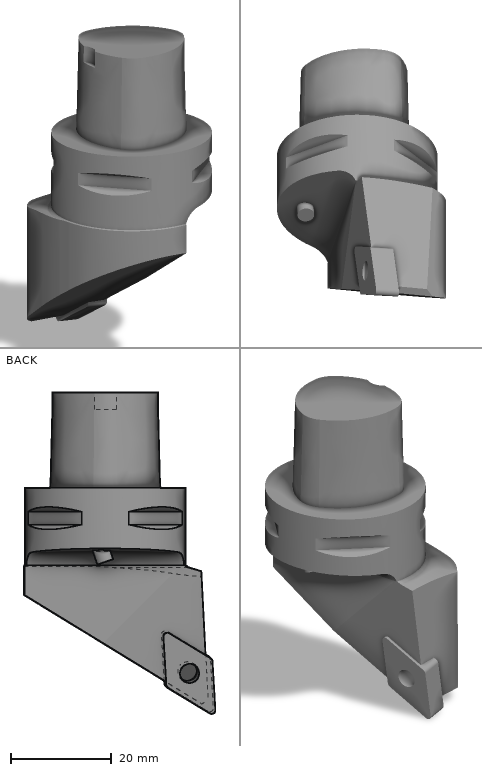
import cadquery as cq
import math


SHANK_LENGTH = 19.0
LOBE_REACH = 11.8
FLANK_REACH = 10.4
FLANK_RADIUS = 14.7
SHANK_INSET = 0.48
NOTCH_RADIUS = 3.3
NOTCH_CENTER_Y = -12.35
NOTCH_DEPTH = 3.3

COLLAR_RADIUS = 16.0
COLLAR_HEIGHT = 15.35
SLOT_COUNT = 4
SLOT_Z = -6.0
SLOT_FLOOR_DISTANCE = 14.15
SLOT_FLOOR_HALF_HEIGHT = 1.3
SLOT_MOUTH_HALF_HEIGHT = 2.25
SLOT_HALF_LENGTH = 9.6

HEAD_RADIUS = 16.25
LEFT_STOCK = (-21.75, -8.95)
LEFT_BEND = (-17.8, -13.25)
LEFT_ARC_MIDDLE = (-15.75, -14.8)
FRONT_LINE_START = (-13.1, -15.6)
FRONT_LINE_END = (-7.35, -16.45)
FRONT_ARC_MIDDLE = (-4.0, -16.7)
FRONT_ARC_END = (-0.5, -16.5)
ROUND_START_X = 2.4
ROUND_MIDDLE_ANGLE = -35
BACK_Y = 3.1
HEAD_JOIN_Z = -12.8
HEAD_BOTTOM_Z = -46.1
SHOULDER_INNER_RADIUS = 16.65
SHOULDER_Z = -15.8
SHOULDER_OUTER_RADIUS = 25.6
SHOULDER_SLOPE = 0.3
LEFT_TOP_X = -19.15
LEFT_TOP_Z = -16.6
NOSE_LEFT = (-20.4, -42.1)
NOSE_BOTTOM = (-19.2, -42.95)
UNDERSIDE_RIGHT_Z = -21.25

RELIEF_OUTER_Z = -12.0
RELIEF_INNER = (6.4, -12.8)
RELIEF_ARC_MIDDLE = (4.35, -13.7)
RELIEF_ARC_END_Z = -15.7
CLEAR = 25.6

NOZZLE_DIAMETER = 3.3
NOZZLE_TIP = (0, 10.4, -14.7)
NOZZLE_LENGTH = 4.5
NOZZLE_TILT = 19.0

INSERT_CORNER = (-22.0, 0, -45.6)
INSERT_SIDE = 11.6
INSERT_ANGLE = 55.0
INSERT_THICKNESS = 4.75
INSERT_CORNER_RADIUS = 0.8
INSERT_HOLE_DIAMETER = 3.85
EDGE_SLOPE = 31.2
RAKE_X = 0.1
RAKE_Z = 0.1
INSERT_PROUD = 0.65


def polar(radius, degrees):
    angle = math.radians(degrees)
    return (radius * math.cos(angle), radius * math.sin(angle))


def shank_outline(workplane, inset):
    """Three lobe arcs joined tangentially by three flank arcs."""
    flank_offset = FLANK_RADIUS - FLANK_REACH
    gap = FLANK_RADIUS - LOBE_REACH
    lobe_offset = (flank_offset**2 - gap**2) / (2 * gap - flank_offset)
    lobe_center = polar(lobe_offset, -30)
    lobe_radius = LOBE_REACH - lobe_offset - inset
    tangent_angle = math.atan2(lobe_center[1] - flank_offset, lobe_center[0])
    joint = (
        lobe_center[0] + lobe_radius * math.cos(tangent_angle),
        lobe_center[1] + lobe_radius * math.sin(tangent_angle),
    )
    joint_radius = math.hypot(*joint)
    half_lobe = -30 - math.degrees(math.atan2(joint[1], joint[0]))

    outline = workplane.moveTo(*polar(joint_radius, -30 - half_lobe))
    for lobe_angle in (-30, 90, 210):
        lobe_tip = polar(LOBE_REACH - inset, lobe_angle)
        lobe_end = polar(joint_radius, lobe_angle + half_lobe)
        flank_middle = polar(FLANK_REACH - inset, lobe_angle + 60)
        flank_end = polar(joint_radius, lobe_angle + 120 - half_lobe)
        outline = outline.threePointArc(lobe_tip, lobe_end).threePointArc(flank_middle, flank_end)
    return outline.close()


def make_shank():
    base = shank_outline(cq.Workplane("XY"), 0)
    shank = shank_outline(base.workplane(offset=SHANK_LENGTH), SHANK_INSET).loft(ruled=True)
    notch = (
        cq.Workplane("XY", origin=(0, NOTCH_CENTER_Y, SHANK_LENGTH - NOTCH_DEPTH))
        .circle(NOTCH_RADIUS)
        .extrude(NOTCH_DEPTH)
    )
    return shank.cut(notch)


def make_collar():
    collar = cq.Workplane("XY").circle(COLLAR_RADIUS).extrude(-COLLAR_HEIGHT)
    flare = (SLOT_MOUTH_HALF_HEIGHT - SLOT_FLOOR_HALF_HEIGHT) / (COLLAR_RADIUS - SLOT_FLOOR_DISTANCE)
    outer_distance = COLLAR_RADIUS + 0.65
    outer_half_height = SLOT_FLOOR_HALF_HEIGHT + flare * (outer_distance - SLOT_FLOOR_DISTANCE)
    slot = (
        cq.Workplane("XZ", origin=(0, 0, SLOT_Z))
        .polyline([
            (SLOT_FLOOR_DISTANCE, -SLOT_FLOOR_HALF_HEIGHT),
            (outer_distance, -outer_half_height),
            (outer_distance, outer_half_height),
            (SLOT_FLOOR_DISTANCE, SLOT_FLOOR_HALF_HEIGHT),
        ])
        .close()
        .extrude(SLOT_HALF_LENGTH, both=True)
    )
    for index in range(SLOT_COUNT):
        angle = 45 + index * 360 / SLOT_COUNT
        collar = collar.cut(slot.rotate((0, 0, 0), (0, 0, 1), angle))
    return collar


def head_column():
    """Upright column with the plan outline of the head."""
    round_start = (ROUND_START_X, -math.sqrt(HEAD_RADIUS**2 - ROUND_START_X**2))
    round_end = (math.sqrt(HEAD_RADIUS**2 - BACK_Y**2), BACK_Y)
    return (
        cq.Workplane("XY", origin=(0, 0, HEAD_JOIN_Z))
        .moveTo(LEFT_STOCK[0], BACK_Y)
        .lineTo(*LEFT_STOCK)
        .lineTo(*LEFT_BEND)
        .threePointArc(LEFT_ARC_MIDDLE, FRONT_LINE_START)
        .lineTo(*FRONT_LINE_END)
        .threePointArc(FRONT_ARC_MIDDLE, FRONT_ARC_END)
        .lineTo(*round_start)
        .threePointArc(polar(HEAD_RADIUS, ROUND_MIDDLE_ANGLE), round_end)
        .close()
        .extrude(HEAD_BOTTOM_Z - HEAD_JOIN_Z)
    )


def shoulder_envelope():
    """Round envelope whose conical top forms the shoulder under the collar."""
    outer_z = SHOULDER_Z - SHOULDER_SLOPE * (SHOULDER_OUTER_RADIUS - SHOULDER_INNER_RADIUS)
    return (
        cq.Workplane("XZ")
        .polyline([
            (0, HEAD_JOIN_Z),
            (COLLAR_RADIUS, HEAD_JOIN_Z),
            (COLLAR_RADIUS, -COLLAR_HEIGHT),
            (SHOULDER_INNER_RADIUS, SHOULDER_Z),
            (SHOULDER_OUTER_RADIUS, outer_z),
            (SHOULDER_OUTER_RADIUS, HEAD_BOTTOM_Z),
            (0, HEAD_BOTTOM_Z),
        ])
        .close()
        .revolve(360, (0, 0), (0, 1))
    )


def side_envelope():
    """Limits the head to its leaning left face, blunt nose and sloped underside."""
    lean = (LEFT_TOP_X - NOSE_LEFT[0]) / (LEFT_TOP_Z - NOSE_LEFT[1])
    left_join_x = LEFT_TOP_X + lean * (HEAD_JOIN_Z - LEFT_TOP_Z)
    return (
        cq.Workplane("XZ")
        .polyline([
            (left_join_x, HEAD_JOIN_Z),
            NOSE_LEFT,
            NOSE_BOTTOM,
            (HEAD_RADIUS, UNDERSIDE_RIGHT_Z),
            (HEAD_RADIUS, HEAD_JOIN_Z),
        ])
        .close()
        .extrude(CLEAR, both=True)
    )


def make_head():
    return head_column().intersect(shoulder_envelope()).intersect(side_envelope())


def collar_relief():
    """Removes the back half of the collar's lower part, with a rounded inner corner."""
    return (
        cq.Workplane("YZ")
        .moveTo(COLLAR_RADIUS, RELIEF_OUTER_Z)
        .lineTo(*RELIEF_INNER)
        .threePointArc(RELIEF_ARC_MIDDLE, (BACK_Y, RELIEF_ARC_END_Z))
        .lineTo(COLLAR_RADIUS, RELIEF_ARC_END_Z)
        .close()
        .extrude(CLEAR, both=True)
    )


def make_nozzle():
    tilt = math.radians(NOZZLE_TILT)
    plane = cq.Plane(origin=NOZZLE_TIP, xDir=(0, 1, 0), normal=(math.sin(tilt), 0, math.cos(tilt)))
    return cq.Workplane(plane).circle(NOZZLE_DIAMETER / 2).extrude(NOZZLE_LENGTH)


def rake_plane():
    """Plane of the insert's rake face, with its local X along the lower cutting edge."""
    edge_x, edge_z = polar(1, EDGE_SLOPE)
    edge_y = RAKE_X * edge_x + RAKE_Z * edge_z
    return cq.Plane(origin=INSERT_CORNER, xDir=(edge_x, edge_y, edge_z), normal=(-RAKE_X, 1, -RAKE_Z))


def make_insert_blank():
    side_x, side_y = polar(INSERT_SIDE, -INSERT_ANGLE)
    return (
        cq.Workplane(rake_plane())
        .polyline([(0, 0), (INSERT_SIDE, 0), (INSERT_SIDE + side_x, side_y), (side_x, side_y)])
        .close()
        .extrude(-INSERT_THICKNESS)
        .edges(cq.selectors.ParallelDirSelector(rake_plane().zDir))
        .fillet(INSERT_CORNER_RADIUS)
    )


def make_insert(blank):
    side_x, side_y = polar(INSERT_SIDE, -INSERT_ANGLE)
    hole = (
        cq.Workplane(rake_plane())
        .center((INSERT_SIDE + side_x) / 2, side_y / 2)
        .circle(INSERT_HOLE_DIAMETER / 2)
        .extrude(-INSERT_THICKNESS)
    )
    return blank.cut(hole)


def make_holder(insert_blank):
    head_relief = (
        cq.Workplane(rake_plane())
        .workplane(offset=-INSERT_PROUD)
        .rect(4 * CLEAR, 4 * CLEAR)
        .extrude(CLEAR)
    )
    head = make_head().cut(head_relief)
    body = make_collar().cut(collar_relief()).union(head)
    return body.union(make_shank()).union(make_nozzle()).cut(insert_blank)


insert_blank = make_insert_blank()
insert = make_insert(insert_blank)
holder = make_holder(insert_blank)

result = cq.Compound.makeCompound([holder.val(), insert.val()])